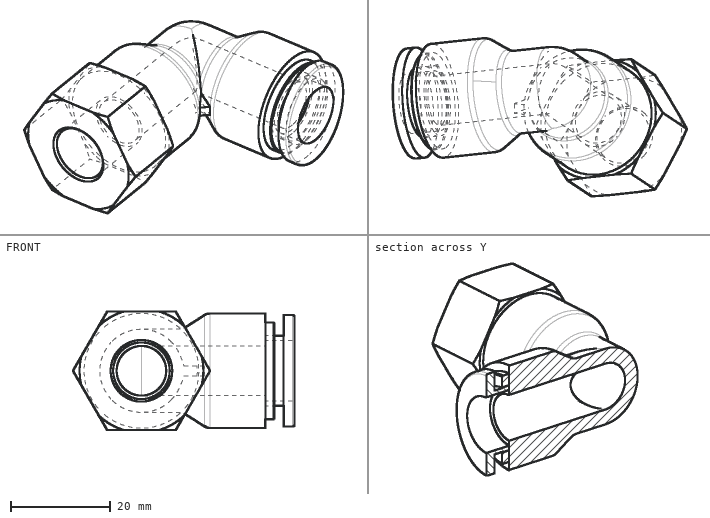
import cadquery as cq
import math

neck_radius = 8.4
barrel_radius = 23.2 / 2
bore_radius = 10.0 / 2
arm_length = 25.0
shoulder_end = 13.8
shoulder_length = 6.15
shoulder_blend = 2.0

gusset_thickness = 2.0
gusset_reach = 24.0

nut_across_flats = 24.0
nut_length = 14.0
nut_bore_radius = 11.45 / 2
nut_bore_chamfer = 0.5
nut_face_radius = 12.5
nut_corner_chamfer = 0.5

collar_radius = 19.6 / 2
collar_length = 1.8
collar_chamfer = 0.2
stem_radius = 14.2 / 2
stem_gap = 1.85
tube_radius = 12.2 / 2
flange_width = 2 * collar_radius
flange_height = 22.55
flange_thickness = 2.25
flange_edge_radius = 0.4

nut_corner_radius = nut_across_flats / math.sqrt(3)
flange_start = arm_length + collar_length + stem_gap


def x_cylinder(radius, start, length):
    """Cylinder on the X axis."""
    return cq.Workplane("YZ").workplane(offset=start).circle(radius).extrude(length)


def turn_to_minus_y(shape):
    """Swing a shape from the +X arm onto the -Y arm."""
    return shape.rotate((0, 0, 0), (0, 0, 1), -90)


def make_arm():
    """Outer shape of the +X arm: neck, blended conical shoulder and barrel."""
    rise = barrel_radius - neck_radius
    centre_rise = rise - 2 * shoulder_blend
    centre_distance = math.hypot(shoulder_length, centre_rise)
    slope = math.asin(2 * shoulder_blend / centre_distance) + math.atan2(centre_rise, shoulder_length)

    def blend(angle):
        """Axial and radial travel along a blend arc that starts parallel to the arm axis."""
        return shoulder_blend * math.sin(angle), shoulder_blend * (1 - math.cos(angle))

    full_x, full_r = blend(slope)
    half_x, half_r = blend(slope / 2)
    shoulder_start = shoulder_end - shoulder_length
    profile = (
        cq.Workplane("XY")
        .lineTo(0, neck_radius)
        .lineTo(shoulder_start, neck_radius)
        .threePointArc(
            (shoulder_start + half_x, neck_radius + half_r),
            (shoulder_start + full_x, neck_radius + full_r),
        )
        .lineTo(shoulder_end - full_x, barrel_radius - full_r)
        .threePointArc(
            (shoulder_end - half_x, barrel_radius - half_r),
            (shoulder_end, barrel_radius),
        )
        .lineTo(arm_length, barrel_radius)
        .lineTo(arm_length, 0)
        .close()
    )
    return profile.revolve(360, (0, 0, 0), (1, 0, 0))


def make_gusset():
    """Flat triangular web from the origin to a 45 degree outer edge."""
    middle = gusset_reach / 2
    half_edge = (barrel_radius - neck_radius) / 2
    return (
        cq.Workplane("XY")
        .polyline([
            (0, 0),
            (middle + half_edge, half_edge - middle),
            (middle - half_edge, -half_edge - middle),
        ])
        .close()
        .extrude(gusset_thickness / 2, both=True)
    )


def make_elbow():
    arm = make_arm()
    bore = x_cylinder(bore_radius, 0, arm_length)
    outside = cq.Workplane("XY").sphere(neck_radius).union(arm).union(turn_to_minus_y(arm))
    outside = outside.union(make_gusset())
    inside = cq.Workplane("XY").sphere(bore_radius).union(bore).union(turn_to_minus_y(bore))
    return outside.cut(inside)


def make_nut():
    """Hexagonal nut, modelled on the X axis and swung onto the -Y arm."""
    nut_end = arm_length + nut_length
    hexagon = (
        cq.Workplane("YZ")
        .workplane(offset=arm_length)
        .polygon(6, 2 * nut_corner_radius)
        .extrude(nut_length)
    )
    corner_envelope = (
        cq.Workplane("XY")
        .polyline([
            (arm_length, 0),
            (arm_length, nut_face_radius),
            (arm_length + nut_corner_chamfer, nut_corner_radius),
            (nut_end - nut_corner_chamfer, nut_corner_radius),
            (nut_end, nut_face_radius),
            (nut_end, 0),
        ])
        .close()
        .revolve(360, (0, 0, 0), (1, 0, 0))
    )
    nut = hexagon.intersect(corner_envelope)
    nut = nut.cut(x_cylinder(nut_bore_radius, arm_length, nut_length))
    bore_rim = nut.faces(">X").edges("%CIRCLE").edges(cq.selectors.RadiusNthSelector(0))
    return turn_to_minus_y(bore_rim.chamfer(nut_bore_chamfer))


def make_collar():
    """Sleeve around the stem of the release button, seated on the end of the +X arm."""
    collar = x_cylinder(collar_radius, arm_length, collar_length)
    collar = collar.faces(">X").edges().chamfer(collar_chamfer)
    return collar.cut(x_cylinder(stem_radius, arm_length, collar_length))


def make_release_button():
    """Hollow stem through the collar with an oval flange at its outer end."""
    flange = (
        cq.Workplane("YZ")
        .workplane(offset=flange_start)
        .ellipse(flange_width / 2, flange_height / 2)
        .extrude(flange_thickness)
        .faces(">X")
        .edges()
        .fillet(flange_edge_radius)
    )
    stem = x_cylinder(stem_radius, arm_length, flange_start - arm_length)
    tube_hole = x_cylinder(tube_radius, arm_length, flange_start + flange_thickness - arm_length)
    return flange.union(stem).cut(tube_hole)


elbow = make_elbow()
nut = make_nut()
collar = make_collar()
release_button = make_release_button()

result = cq.Compound.makeCompound([elbow.val(), nut.val(), collar.val(), release_button.val()])